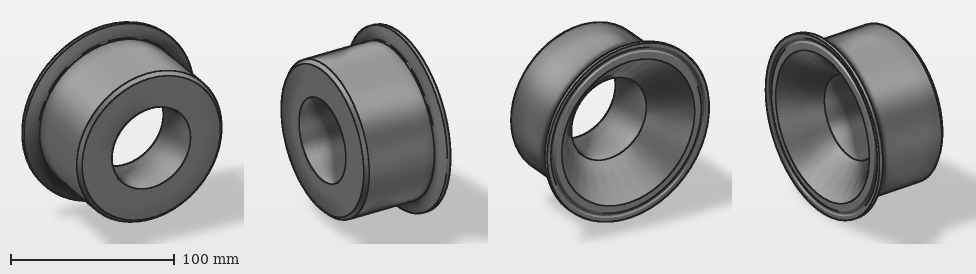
import cadquery as cq
import math

length = 55.5
flange_radius = 59.5
body_radius = 50.8
bore_radius = 27.5

rim_thickness = 2.7
flange_back_angle = 20.0
rim_fillet = 0.4
neck_fillet = 0.8
neck_x = rim_thickness + (flange_radius - body_radius) * math.tan(math.radians(flange_back_angle))

chamfer_length = 2.5
chamfer_drop = 2.4

mouth_radius = 48.8
mouth_depth = mouth_radius - bore_radius

groove_middle_radius = 55.2
groove_width = 4.0
groove_bottom_radius = 1.3
groove_lip_radius = 0.8


def add_gasket_groove(profile):
    """Draw the groove outwards along the flange face as lip, bottom and lip arcs, all tangent."""
    half_width = groove_width / 2
    centre_distance = groove_lip_radius + groove_bottom_radius
    wall_angle = math.asin(half_width / centre_distance)
    bottom_centre_x = groove_lip_radius - centre_distance * math.cos(wall_angle)
    groove_depth = bottom_centre_x + groove_bottom_radius

    def lip_point(angle, side):
        """Point on a lip arc, turned by an angle from where the lip meets the face."""
        x = groove_lip_radius * (1 - math.cos(angle))
        offset = half_width - groove_lip_radius * math.sin(angle)
        return (x, groove_middle_radius + side * offset)

    inner, outer = -1, 1
    return (
        profile.lineTo(*lip_point(0, inner))
        .threePointArc(lip_point(wall_angle / 2, inner), lip_point(wall_angle, inner))
        .threePointArc((groove_depth, groove_middle_radius), lip_point(wall_angle, outer))
        .threePointArc(lip_point(wall_angle / 2, outer), lip_point(0, outer))
    )


def turn_part():
    """Revolve the (x, radius) profile of flange, body, bore and mouth about the X axis."""
    profile = cq.Workplane("XY").moveTo(0, mouth_radius)
    profile = (
        add_gasket_groove(profile)
        .lineTo(0, flange_radius)
        .lineTo(rim_thickness, flange_radius)
        .lineTo(neck_x, body_radius)
        .lineTo(length - chamfer_length, body_radius)
        .lineTo(length, body_radius - chamfer_drop)
        .lineTo(length, bore_radius)
        .lineTo(mouth_depth, bore_radius)
        .close()
    )
    return profile.revolve(360, (0, 0, 0), (1, 0, 0))


def fillet_ring(part, x, ring_radius, fillet_radius):
    """Round the circular edge that lies at a given place along X with a given radius."""
    margin = 0.1
    reach = ring_radius + margin
    ring = cq.selectors.BoxSelector(
        (x - margin, -reach, -reach),
        (x + margin, reach, reach),
        boundingbox=True,
    )
    return part.edges(ring).fillet(fillet_radius)


result = turn_part()
result = fillet_ring(result, rim_thickness, flange_radius, rim_fillet)
result = fillet_ring(result, neck_x, body_radius, neck_fillet)